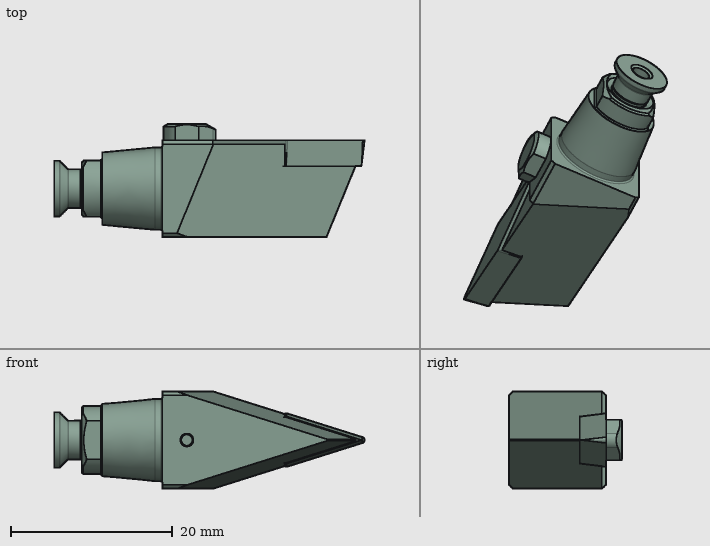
import cadquery as cq
import math


knob_radius = 3.45
knob_rim_end = 0.65
neck_radius = 2.4
knob_blend = 0.1
neck_start = knob_rim_end + knob_radius - neck_radius
undercut_start = 3.22
undercut_radius = 2.35
collar_start = 3.38
collar_radius = 4.22
collar_chamfer = 0.23
collar_end = 5.9
collar_root = 0.2
collar_flat = 3.5
flat_bevel_radius = 7.3
flat_bevel_reach = 3.22
stud_recess_radius = 3.15
stud_recess_depth = 0.35
stud_bore_radius = 1.1
countersink_radius = 1.45
countersink_depth = 0.23

taper_small_radius = 4.5
taper_large_radius = 5.1
taper_end = 12.4
root_fillet = 0.2
holder_bore_radius = 0.95
block_start = 13.35
block_width = 12.0
half_width = block_width / 2
block_chamfer = 0.5
side_hole_radius = 0.7
side_hole_chamfer = 0.1
side_hole_chamfer_angle = 45.0

nose_half_angle = 17.5
nose_slope = math.tan(math.radians(nose_half_angle))
relief_angle = 7.0
nose_lean = math.tan(math.radians(relief_angle)) / math.sin(math.radians(nose_half_angle))
nose_shoulder_middle = 17.42
nose_flat_width = 0.23
nose_step_start = 19.57
nose_step_depth = 0.5
rear_clearance = 3.85

insert_tip = 38.38
insert_thickness = 3.22
insert_edge = 11.1
insert_nose_radius = 0.4

clamp_x = 16.4
clamp_height = 2.0
clamp_flats = 5.03
clamp_radius = clamp_flats / math.sqrt(3)
clamp_point = 20.55
clamp_point_radius = 1.2
clamp_top_radius = 2.35
clamp_bevel_angle = 30.0
clamp_shank_radius = 1.15
clamp_shank_end = -1.9


def revolved(points):
    """Turn an (x, radius) outline about the X axis."""
    return cq.Workplane("XY").polyline(points).close().revolve(360, (0, 0, 0), (1, 0, 0))


def rod_along_x(radius, start, end):
    return cq.Workplane("YZ", origin=(start, 0, 0)).circle(radius).extrude(end - start)


def rod_along_y(x, radius, start, end):
    """A rod parallel to Y; the XZ workplane's normal is -Y."""
    return cq.Workplane("XZ", origin=(x, end, 0)).circle(radius).extrude(end - start)


def stud_knob():
    """The knob and its neck, with blended ends of the cone between them."""
    recess_floor = collar_start + stud_recess_depth
    knob = revolved([
        (0, 0),
        (0, knob_radius),
        (knob_rim_end, knob_radius),
        (neck_start, neck_radius),
        (undercut_start, neck_radius),
        (collar_start, undercut_radius),
        (recess_floor, undercut_radius),
        (recess_floor, 0),
    ])
    cone_region = cq.selectors.BoxSelector(
        (knob_rim_end - knob_blend, -knob_radius, -knob_radius),
        (neck_start + knob_blend, knob_radius, knob_radius),
    )
    return knob.edges(cone_region).edges("%CIRCLE").fillet(knob_blend)


def stud_collar():
    """The collar with a wrench flat on each Y side."""
    length = collar_end - collar_start
    collar = revolved([
        (collar_start, 0),
        (collar_start, collar_radius - collar_chamfer),
        (collar_start + collar_chamfer, collar_radius),
        (collar_end, collar_radius),
        (collar_end, 0),
    ])
    flats = (
        cq.Workplane("XY")
        .box(length, 2 * collar_flat, 2 * collar_radius, centered=(False, True, True))
        .translate((collar_start, 0, 0))
    )
    collar = collar.intersect(flats)
    bevel = revolved([
        (collar_start, 0),
        (collar_start, flat_bevel_radius),
        (collar_end, flat_bevel_radius + length),
        (collar_end, 0),
    ])
    for side in (1, -1):
        offset = side * (flat_bevel_reach - flat_bevel_radius)
        collar = collar.intersect(bevel.translate((0, offset, 0)))
    return collar


def stud_foot():
    """The collar's foot, flaring at 45 degrees on the flats as well as on the round sides."""
    start = collar_end - collar_root
    wide_radius = collar_radius + collar_root
    wide_flat = collar_flat + collar_root
    cone = revolved([(start, 0), (start, collar_radius), (collar_end, wide_radius), (collar_end, 0)])
    flats = (
        cq.Workplane("XY")
        .polyline([
            (start, collar_flat),
            (collar_end, wide_flat),
            (collar_end, -wide_flat),
            (start, -collar_flat),
        ])
        .close()
        .extrude(wide_radius, both=True)
    )
    return cone.intersect(flats)


def stud_recess():
    """The conical recess around the neck in the collar's front face."""
    floor = collar_start + stud_recess_depth
    return revolved([
        (collar_start, 0),
        (collar_start, stud_recess_radius),
        (floor, neck_radius),
        (floor, 0),
    ])


def make_stud():
    bore = rod_along_x(stud_bore_radius, 0, collar_end)
    countersink = revolved([
        (0, 0),
        (0, countersink_radius),
        (countersink_depth, stud_bore_radius),
        (countersink_depth, 0),
    ])
    collar = stud_collar().union(stud_foot()).cut(stud_recess())
    return collar.union(stud_knob()).cut(bore).cut(countersink)


def nose_section(y):
    """The wedge's outline, parallel to XZ, at the given Y."""
    shoulder = nose_shoulder_middle + nose_lean * y
    tip = shoulder + (half_width - nose_flat_width / 2) / nose_slope
    rear = block_start - rear_clearance
    raised = half_width + (shoulder - rear) * nose_slope
    corners = [
        (rear, raised),
        (tip, nose_flat_width / 2),
        (tip, -nose_flat_width / 2),
        (rear, -raised),
    ]
    return cq.Wire.makePolygon([cq.Vector(x, y, z) for x, z in corners], close=True)


def leaning_wedge():
    sections = [nose_section(-half_width), nose_section(half_width)]
    return cq.Workplane(obj=cq.Solid.makeLoft(sections, True))


def nose_step():
    """The step that leaves the insert standing proud of the nose's +Y side."""
    return (
        cq.Workplane("XY")
        .box(insert_tip - nose_step_start, nose_step_depth, block_width, centered=(False, False, True))
        .translate((nose_step_start, half_width - nose_step_depth, 0))
    )


def insert_rhombus():
    half_length = insert_edge * math.cos(math.radians(nose_half_angle))
    half_breadth = insert_edge * math.sin(math.radians(nose_half_angle))
    corners = [(half_length, 0), (0, half_breadth), (-half_length, 0), (0, -half_breadth)]
    return cq.Sketch().polygon([*corners, corners[0]])


def insert_prism(outline):
    """Extrude an outline from the rake face towards -Y, tapering by the relief angle."""
    nose_loss = insert_nose_radius * (1 / math.sin(math.radians(nose_half_angle)) - 1)
    middle = insert_tip + nose_loss - insert_edge * math.cos(math.radians(nose_half_angle))
    return (
        cq.Workplane("XZ", origin=(middle, half_width, 0))
        .placeSketch(outline)
        .extrude(insert_thickness, taper=relief_angle)
    )


def make_insert():
    return insert_prism(insert_rhombus().vertices().fillet(insert_nose_radius))


def insert_pocket():
    """The insert's seat, whose corners stay sharp."""
    return insert_prism(insert_rhombus())


def make_clamp():
    half_flats = clamp_flats / 2
    head = (
        cq.Workplane("XZ", origin=(0, half_width, 0))
        .moveTo(clamp_x - clamp_radius / 2, half_flats)
        .lineTo(clamp_x + clamp_radius / 2, half_flats)
        .lineTo(clamp_point, 0)
        .lineTo(clamp_x + clamp_radius / 2, -half_flats)
        .lineTo(clamp_x - clamp_radius / 2, -half_flats)
        .threePointArc((clamp_x - clamp_radius, 0), (clamp_x - clamp_radius / 2, half_flats))
        .close()
        .extrude(-clamp_height)
    )
    head = head.edges("|Y").edges(">X").fillet(clamp_point_radius)
    cone_radius = clamp_top_radius + clamp_height / math.tan(math.radians(clamp_bevel_angle))
    bevel = (
        cq.Workplane("XY")
        .polyline([
            (0, half_width),
            (cone_radius, half_width),
            (clamp_top_radius, half_width + clamp_height),
            (0, half_width + clamp_height),
        ])
        .close()
        .revolve(360, (0, 0, 0), (0, 1, 0))
        .translate((clamp_x, 0, 0))
    )
    return head.intersect(bevel).union(rod_along_y(clamp_x, clamp_shank_radius, clamp_shank_end, half_width))


def side_hole():
    """The hole from the -Y side to the end of the clamp's shank, chamfered at its mouth."""
    mouth = (
        cq.Workplane("XZ", origin=(clamp_x, -half_width, 0))
        .circle(side_hole_radius + side_hole_chamfer)
        .extrude(-side_hole_chamfer, taper=side_hole_chamfer_angle)
    )
    return rod_along_y(clamp_x, side_hole_radius, -half_width, clamp_shank_end).union(mouth)


def make_holder():
    block_length = insert_tip - block_start
    block = (
        cq.Workplane("XY")
        .box(block_length, block_width, block_width, centered=(False, True, True))
        .edges("|X")
        .chamfer(block_chamfer)
        .translate((block_start, 0, 0))
    )
    taper = (
        cq.Workplane("XY")
        .moveTo(collar_end, 0)
        .lineTo(collar_end, taper_small_radius)
        .lineTo(taper_end, taper_large_radius)
        .lineTo(block_start - root_fillet, taper_large_radius)
        .radiusArc((block_start, taper_large_radius + root_fillet), -root_fillet)
        .lineTo(block_start, 0)
        .close()
        .revolve(360, (0, 0, 0), (1, 0, 0))
    )
    holder = block.intersect(leaning_wedge()).cut(nose_step()).union(taper)
    holder = holder.cut(insert_pocket())
    holder = holder.cut(rod_along_x(holder_bore_radius, collar_end, clamp_x))
    holder = holder.cut(rod_along_y(clamp_x, clamp_shank_radius, clamp_shank_end, half_width))
    return holder.cut(side_hole())


stud = make_stud()
holder = make_holder()
insert = make_insert()
clamp = make_clamp()

bodies = (stud, holder, insert, clamp)
result = cq.Compound.makeCompound([body.solids().val() for body in bodies])